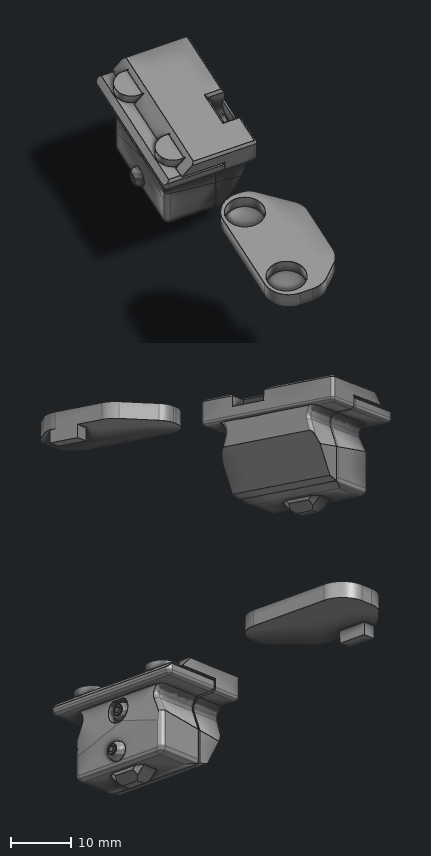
import cadquery as cq
import math

OVERALL_LENGTH = 64.05

CLAMP_WIDTH = 27.15
CLAMP_DEPTH = 17.2
FLANGE_BOTTOM = 12.5
FLANGE_TOP = 14.8
CLAMP_TOP = 17.15
SPLIT_Y = 11.2
FRONT_FACE_Y = 1.9
BODY_WIDTH = 20.0
EDGE_BREAK = 0.45
BACK_FILLET = 0.6

JAW_FRONT_FILLET = 0.95
JAW_BOTTOM_FILLET = 1.2
JAW_BACK_FILLET = 0.45
FLANGE_CHAMFER = 1.0
FLANGE_CORNER_FILLET = 0.85
FLANGE_FILLET = 0.8
FACET_TILT = 1.5
FACET_PEAK = (1.0, 8.0)
FACET_LEFT_Z = 4.15
FACET_RIGHT_Z = 5.6

WAIST_DEPTH = 1.3
WAIST_TOP_DEPTH = 0.2
WAIST_TANGENT_Z = 10.2
WAIST_FRONT_Z = 7.7
WAIST_BACK_Z = 5.75

BEVEL_BACK_Z = 8.15
BEVEL_KNEE = (13.1, 1.1)
BEVEL_FRONT_Y = 8.9

DOVETAIL_TOP_Y = 5.6
DOVETAIL_HEIGHT = CLAMP_TOP - FLANGE_TOP
NOTCH_X = 3.8
NOTCH_WIDTH = 6.35
NOTCH_FRONT_Y = 14.15
NOTCH_DEPTH = 2.3
LEDGE_THICKNESS = 0.45

STUD_DIAMETER = 6.0
STUD_PITCH = 16.2
STUD_HOLE_DIAMETER = 6.4
STUD_Y = 4.2
STUD_HEIGHT = 1.6

SCREW_LOW_Z = 2.7
SCREW_HIGH_Z = 10.2
HEAD_DIAMETER = 3.5
HEAD_TIP_DIAMETER = 2.0
HEAD_HEIGHT = 1.35
DOME_BULGE = 0.16
SOCKET_DIAMETER = 1.6
SOCKET_DEPTH = 0.8
SHANK_DIAMETER = 2.5
SHANK_END_Y = 12.5
COUNTERBORE_DIAMETER = 4.5
COUNTERBORE_DEPTH = 1.4
COUNTERBORE_FLAT = 1.9

LUG_BOTTOM_WIDTH = 3.4
LUG_DEPTH = 4.7
LUG_Y = 5.75
LUG_DROP = 2.1
LUG_TOP_Z = 0.95
LUG_CORNER = 0.85
LUG_FRONT_BEVEL = 1.5

PLATE_WIDTH = 25.1
PLATE_DEPTH = 13.7
PLATE_THICKNESS = 2.95
PLATE_BACK_GAP = 0.4
PLATE_LEFT_CHAMFER = 7.0
PLATE_RIGHT_CHAMFER = 5.05
PLATE_LEFT_RADIUS = 3.7
PLATE_RADIUS = 4.5
RECESS_DIAMETER = 6.8
RECESS_DEPTH = 2.25
RECESS_FROM_FRONT = 4.05
TAB_WIDTH = 5.65
TAB_DEPTH = 2.4
TAB_HEIGHT = 2.3

HALF_BODY = BODY_WIDTH / 2
PLATE_X = OVERALL_LENGTH - CLAMP_WIDTH / 2 - PLATE_WIDTH / 2
MARGIN = 3.2


def block(width, y_front, y_back, z_bottom, z_top):
    """Box centred on X = 0."""
    return (
        cq.Workplane("XY", origin=(0, (y_front + y_back) / 2, z_bottom))
        .box(width, y_back - y_front, z_top - z_bottom, centered=(True, True, False))
    )


def cylinder_y(diameter, y_start, y_end, z):
    """Cylinder along Y on the X = 0 plane."""
    return (
        cq.Workplane("XZ", origin=(0, y_start, z))
        .circle(diameter / 2)
        .extrude(y_start - y_end)
    )


def waist_section(y, low_z):
    """Closed outline of the right-hand groove at one Y."""
    outside = HALF_BODY + MARGIN
    return (
        cq.Workplane("XZ", origin=(0, y, 0))
        .moveTo(outside, low_z)
        .lineTo(HALF_BODY, low_z)
        .lineTo(HALF_BODY - WAIST_DEPTH, WAIST_TANGENT_Z)
        .tangentArcPoint((HALF_BODY - WAIST_TOP_DEPTH, FLANGE_BOTTOM), relative=False)
        .lineTo(outside, FLANGE_BOTTOM)
        .close()
        .wires()
        .val()
    )


def cut_waist(body):
    """Cut the groove, which runs lower towards the back, into both sides."""
    sections = [
        waist_section(FRONT_FACE_Y, WAIST_FRONT_Z),
        waist_section(CLAMP_DEPTH, WAIST_BACK_Z),
    ]
    groove = cq.Workplane(cq.Solid.makeLoft(sections, True))
    return body.cut(groove).cut(groove.mirror("YZ"))


def back_bevels():
    """Material to remove below the sloping back and underside."""
    below = -MARGIN
    behind = CLAMP_DEPTH + MARGIN
    return (
        cq.Workplane("YZ", origin=(-CLAMP_WIDTH / 2, 0, 0))
        .polyline([
            (behind, below),
            (behind, BEVEL_BACK_Z),
            (CLAMP_DEPTH, BEVEL_BACK_Z),
            BEVEL_KNEE,
            (BEVEL_FRONT_Y, 0),
            (BEVEL_FRONT_Y, below),
        ])
        .close()
        .extrude(CLAMP_WIDTH)
    )


def facet_relief(side, edge_z):
    """Thin wedge above one facet line, deeper with distance from the line."""
    peak_x, peak_z = FACET_PEAK
    slope = math.degrees(math.atan2(edge_z - peak_z, side * HALF_BODY - peak_x))
    line_angle = slope if side > 0 else slope + 180
    reach = 2 * BODY_WIDTH
    return (
        cq.Workplane("XY")
        .box(reach, reach, reach, centered=(True, False, True))
        .translate((0, -reach, 0))
        .rotate((0, 0, 0), (1, 0, 0), -FACET_TILT)
        .rotate((0, 0, 0), (0, 1, 0), -line_angle)
        .translate((peak_x, FRONT_FACE_Y, peak_z))
    )


def screw_head_y(z):
    """Y of the head seat: on the front face, or on the counterbore floor."""
    return FRONT_FACE_Y + (COUNTERBORE_DEPTH if z == SCREW_HIGH_Z else 0)


def make_screw(z):
    """Button-head screw along Y with a hexagonal socket."""
    seat_y = screw_head_y(z)
    tip_y = seat_y - HEAD_HEIGHT
    base_r = HEAD_DIAMETER / 2
    tip_r = HEAD_TIP_DIAMETER / 2
    dome_middle = ((base_r + tip_r) / 2 + DOME_BULGE, seat_y - HEAD_HEIGHT / 2 - DOME_BULGE)
    screw = (
        cq.Workplane("XY")
        .moveTo(0, tip_y)
        .lineTo(tip_r, tip_y)
        .threePointArc(dome_middle, (base_r, seat_y))
        .lineTo(SHANK_DIAMETER / 2, seat_y)
        .lineTo(SHANK_DIAMETER / 2, SHANK_END_Y)
        .lineTo(0, SHANK_END_Y)
        .close()
        .revolve(360, (0, 0, 0), (0, 1, 0))
        .translate((0, 0, z))
    )
    socket = (
        cq.Workplane("XZ", origin=(0, tip_y, z))
        .polygon(6, SOCKET_DIAMETER)
        .extrude(-SOCKET_DEPTH)
    )
    return screw.cut(socket)


def shank_holes():
    holes = cq.Workplane("XY")
    for z in (SCREW_LOW_Z, SCREW_HIGH_Z):
        holes = holes.add(cylinder_y(SHANK_DIAMETER, screw_head_y(z), SHANK_END_Y, z))
    return holes.combine()


def counterbore():
    """Recess for the upper screw head, with a flat top side."""
    bore_floor = FRONT_FACE_Y + COUNTERBORE_DEPTH
    bore = cylinder_y(COUNTERBORE_DIAMETER, 0, bore_floor, SCREW_HIGH_Z)
    keep = block(COUNTERBORE_DIAMETER, 0, bore_floor, 0, SCREW_HIGH_Z + COUNTERBORE_FLAT)
    return bore.intersect(keep)


def make_lug():
    """Lug with sides sloping at 45 degrees, cut corners and bevels below the front and back."""
    height = LUG_TOP_Z + LUG_DROP
    front_y = LUG_Y - LUG_DEPTH / 2
    half_bottom_depth = LUG_DEPTH / 2 - LUG_FRONT_BEVEL
    lug = (
        cq.Workplane("XZ", origin=(0, front_y, -LUG_DROP))
        .polyline([
            (-LUG_BOTTOM_WIDTH / 2, 0),
            (LUG_BOTTOM_WIDTH / 2, 0),
            (LUG_BOTTOM_WIDTH / 2 + height, height),
            (-LUG_BOTTOM_WIDTH / 2 - height, height),
        ])
        .close()
        .extrude(-LUG_DEPTH)
        .edges("not(|X or |Y)").chamfer(LUG_CORNER)
    )
    taper = (
        cq.Workplane("YZ", origin=(-CLAMP_WIDTH / 2, LUG_Y, -LUG_DROP))
        .polyline([
            (-half_bottom_depth, 0),
            (half_bottom_depth, 0),
            (LUG_DEPTH / 2, LUG_FRONT_BEVEL),
            (LUG_DEPTH / 2, height),
            (-LUG_DEPTH / 2, height),
            (-LUG_DEPTH / 2, LUG_FRONT_BEVEL),
        ])
        .close()
        .extrude(CLAMP_WIDTH)
    )
    return lug.intersect(taper)


def make_stud(x, diameter):
    """Upright cylinder on the jaw flange, also used to cut its hole in the housing."""
    return (
        cq.Workplane("XY", origin=(x, STUD_Y, FLANGE_TOP))
        .circle(diameter / 2)
        .extrude(STUD_HEIGHT)
    )


def make_jaw():
    flange = (
        block(CLAMP_WIDTH, 0, SPLIT_Y, FLANGE_BOTTOM, FLANGE_TOP)
        .edges(">Z and <Y").chamfer(FLANGE_CHAMFER)
        .faces(">Z").edges("|Y").chamfer(EDGE_BREAK)
        .edges("|Z and <Y").fillet(FLANGE_CORNER_FILLET)
        .edges("|Z and >Y").fillet(JAW_BACK_FILLET)
        .faces("<Z").edges("not >Y").fillet(FLANGE_FILLET)
    )
    body = (
        block(BODY_WIDTH, FRONT_FACE_Y, SPLIT_Y, 0, FLANGE_BOTTOM)
        .edges("<Z and |Y").fillet(JAW_BOTTOM_FILLET)
    )
    body = (
        cut_waist(body)
        .faces("<Y").edges("not >Z").fillet(JAW_FRONT_FILLET)
        .faces(">Y").edges("not(>Z or <Z)").fillet(JAW_BACK_FILLET)
    )
    body = (
        body.cut(facet_relief(-1, FACET_LEFT_Z))
        .cut(facet_relief(1, FACET_RIGHT_Z))
        .cut(back_bevels())
    )
    return flange.union(body).cut(counterbore()).cut(shank_holes())


def notch():
    """Rear notch: a round-bottomed pocket behind a low ledge, chamfered around the top."""
    floor_z = CLAMP_TOP - NOTCH_DEPTH
    depth = CLAMP_DEPTH - NOTCH_FRONT_Y
    opening = block(NOTCH_WIDTH, NOTCH_FRONT_Y, CLAMP_DEPTH, floor_z, CLAMP_TOP)
    flare = (
        cq.Workplane("XY", origin=(0, CLAMP_DEPTH, CLAMP_TOP))
        .rect(NOTCH_WIDTH + 2 * EDGE_BREAK, 2 * (depth + EDGE_BREAK))
        .workplane(offset=-EDGE_BREAK)
        .rect(NOTCH_WIDTH, 2 * depth)
        .loft(ruled=True)
    )
    pocket = cylinder_y(NOTCH_WIDTH, NOTCH_FRONT_Y, CLAMP_DEPTH - LEDGE_THICKNESS, floor_z)
    return opening.union(flare).union(pocket).translate((NOTCH_X, 0, 0))


def make_housing():
    cap = (
        cq.Workplane("YZ", origin=(-CLAMP_WIDTH / 2, 0, 0))
        .polyline([
            (CLAMP_DEPTH, FLANGE_BOTTOM),
            (SPLIT_Y, FLANGE_BOTTOM),
            (SPLIT_Y, FLANGE_TOP),
            (DOVETAIL_TOP_Y - DOVETAIL_HEIGHT, FLANGE_TOP),
            (DOVETAIL_TOP_Y, CLAMP_TOP),
            (CLAMP_DEPTH, CLAMP_TOP),
        ])
        .close()
        .extrude(CLAMP_WIDTH)
        .edges("|Z and >Y").fillet(BACK_FILLET)
        .faces(">Z").edges("not <Y").chamfer(EDGE_BREAK)
        .faces("<Z").edges("|Y").fillet(FLANGE_FILLET)
    )
    body = cut_waist(block(BODY_WIDTH, SPLIT_Y, CLAMP_DEPTH, 0, FLANGE_BOTTOM))
    body = body.faces(">Y").edges("not(>Z or <Z)").fillet(BACK_FILLET).cut(back_bevels())
    return cap.union(body).cut(notch()).cut(shank_holes())


def make_plate():
    """Cover plate with two blind recesses above and a tab below."""
    back_y = CLAMP_DEPTH - PLATE_BACK_GAP
    front_y = back_y - PLATE_DEPTH
    top_z = CLAMP_TOP + PLATE_THICKNESS
    half = PLATE_WIDTH / 2
    plate = (
        cq.Workplane("XY", origin=(0, 0, CLAMP_TOP))
        .polyline([
            (-half, front_y),
            (half, front_y),
            (half, back_y - PLATE_RIGHT_CHAMFER),
            (half - PLATE_RIGHT_CHAMFER, back_y),
            (-half + PLATE_LEFT_CHAMFER, back_y),
            (-half, back_y - PLATE_LEFT_CHAMFER),
        ])
        .close()
        .extrude(PLATE_THICKNESS)
    )
    left_back = cq.selectors.BoxSelector(
        (-half - 0.65, back_y - PLATE_LEFT_CHAMFER - 0.65, CLAMP_TOP), (0, back_y + 0.65, top_z)
    )
    upright = cq.selectors.ParallelDirSelector(cq.Vector(0, 0, 1))
    plate = plate.edges(upright - left_back).fillet(PLATE_RADIUS)
    plate = plate.edges(upright & left_back).fillet(PLATE_LEFT_RADIUS)
    recesses = (
        cq.Workplane("XY", origin=(0, front_y + RECESS_FROM_FRONT, top_z))
        .pushPoints([(-STUD_PITCH / 2, 0), (STUD_PITCH / 2, 0)])
        .circle(RECESS_DIAMETER / 2)
        .extrude(-RECESS_DEPTH)
    )
    tab = block(TAB_WIDTH, back_y - TAB_DEPTH, back_y, CLAMP_TOP - TAB_HEIGHT, CLAMP_TOP)
    plate = plate.cut(recesses).union(tab.translate((NOTCH_X, 0, 0)))
    return plate.translate((PLATE_X, 0, 0))


lug = make_lug()
screws = [make_screw(z) for z in (SCREW_LOW_Z, SCREW_HIGH_Z)]
jaw = make_jaw().cut(lug)
housing = make_housing()
studs = []
for x in (-STUD_PITCH / 2, STUD_PITCH / 2):
    studs.append(make_stud(x, STUD_DIAMETER))
    housing = housing.cut(make_stud(x, STUD_HOLE_DIAMETER))
plate = make_plate()

bodies = [jaw, housing, lug, plate, *screws, *studs]
result = cq.Compound.makeCompound([body.val() for body in bodies])